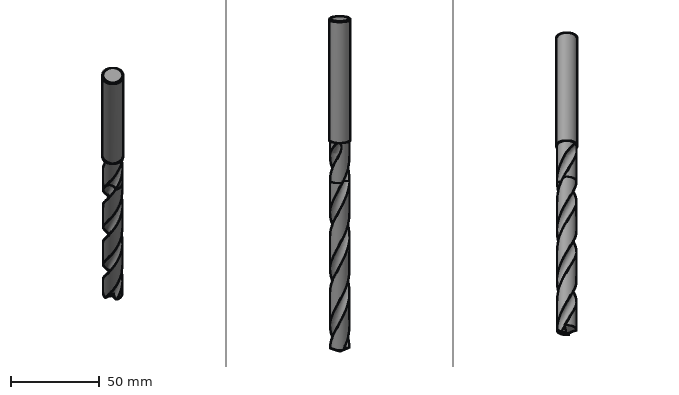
import cadquery as cq
import math


overall_length = 194.0
shank_diameter = 12.0
shank_length = 71.0
shank_chamfer = 0.6
drill_diameter = 11.0
cutting_length = 99.5
point_angle = 134.0

flute_count = 2
flute_pitch = 65.6
flute_width_angle = 70.0
flute_start_angle = -84.5
flute_helix_end = 115.6
core_radius = 2.2
run_out_turn = 36.0
overrun = 2.0

gash_point_offset = 0.35
gash_heading = 48.0
gash_lean = 26.0
gash_opening_heading = 8.0
gash_opening_angle = 90.0
gash_length = 8.0
gash_reach = 2.6

drill_radius = drill_diameter / 2
shank_radius = shank_diameter / 2
shank_bottom = overall_length - shank_length
point_height = drill_radius / math.tan(math.radians(point_angle / 2))
twist_per_mm = 360 / flute_pitch

edge_reach = drill_radius * math.cos(math.radians(flute_width_angle / 2))
flute_radius = (core_radius**2 + drill_radius**2 - 2 * core_radius * edge_reach) / (
    2 * (edge_reach - core_radius)
)
flute_offset = core_radius + flute_radius

flute_angles = [flute_start_angle + 360 / flute_count * i for i in range(flute_count)]


def turned(body, angle):
    """The body turned about the drill axis."""
    return body.rotate((0, 0, 0), (0, 0, 1), angle)


def drill_blank():
    """Plain cylinder with a conical point, up to the shoulder of the shank."""
    half_section = [
        (0, 0),
        (drill_radius, point_height),
        (drill_radius, shank_bottom),
        (0, shank_bottom),
    ]
    return cq.Workplane("XZ").polyline(half_section).close().revolve(360, (0, 0), (0, 1))


def helical_flute():
    """Groove that would cross Z = 0 on the +X side; it starts below the point."""
    height = flute_helix_end + overrun
    circle = cq.Workplane("XY").pushPoints([(flute_offset, 0)]).circle(flute_radius)
    groove = circle.twistExtrude(height, twist_per_mm * height).translate((0, 0, -overrun))
    return turned(groove, -twist_per_mm * overrun)


def flute_run_out():
    """Straight end of that groove: it leaves the helix and rises out of the neck at the shoulder."""
    height = shank_bottom - flute_helix_end
    turn = math.radians(run_out_turn)
    exit_offset = drill_radius + flute_radius
    sideways = exit_offset * math.sin(turn)
    outward = exit_offset * math.cos(turn) - flute_offset
    centre = cq.Vector(flute_offset, 0, flute_helix_end)
    circle = cq.Wire.makeCircle(flute_radius, centre, cq.Vector(0, 0, 1))
    groove = cq.Solid.extrudeLinear(circle, [], cq.Vector(outward, sideways, height))
    return turned(cq.Workplane(groove), twist_per_mm * flute_helix_end)


def web_gash():
    """V-groove whose floor starts beside the point on the +X side and climbs into the flute."""
    lean = math.radians(gash_lean)
    heading = math.radians(gash_heading)
    floor = cq.Vector(
        math.sin(lean) * math.cos(heading),
        math.sin(lean) * math.sin(heading),
        math.cos(lean),
    )
    opening_heading = math.radians(gash_opening_heading)
    outward = cq.Vector(math.cos(opening_heading), math.sin(opening_heading), 0)
    opening = outward - floor * floor.dot(outward)
    start = cq.Vector(gash_point_offset, 0, 0) - floor
    half_width = gash_reach * math.tan(math.radians(gash_opening_angle / 2))
    return (
        cq.Workplane(cq.Plane(start, opening, floor))
        .polyline([(0, 0), (gash_reach, -half_width), (gash_reach, half_width)])
        .close()
        .extrude(gash_length)
    )


flute = helical_flute()
run_out = flute_run_out()
gash = web_gash()
drill = drill_blank()
for angle in flute_angles:
    drill = drill.cut(turned(flute, angle))
for angle in flute_angles:
    drill = drill.cut(turned(run_out, angle)).cut(turned(gash, angle))

below_joint = cq.Workplane("XY").circle(shank_diameter).extrude(cutting_length)
cutting_part = drill.intersect(below_joint)

neck = drill.cut(below_joint)
clamp = cq.Workplane("XY").workplane(offset=shank_bottom).circle(shank_radius).extrude(shank_length)
shank = neck.union(clamp.faces(">Z").chamfer(shank_chamfer))

result = cq.Compound.makeCompound([cutting_part.val(), shank.val()])